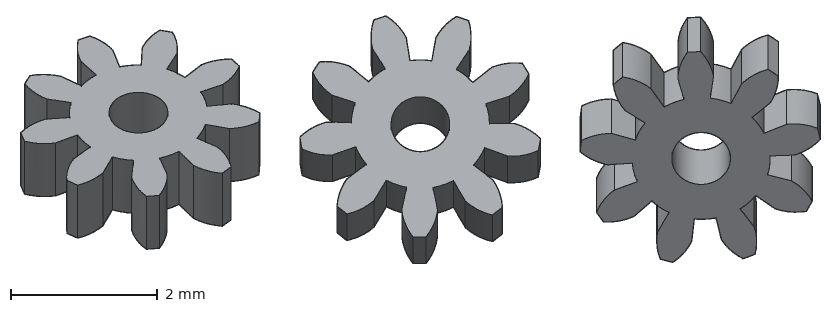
import cadquery as cq
import math

tooth_count = 9
thickness = 1.0
bore_diameter = 0.8
root_radius = 0.94

radial_flank_angle = math.radians(11)
shoulder_radius = 1.28
flank_mid_x = 1.453
flank_mid_half_width = 0.197
tip_x = 1.65
tip_half_width = 0.09


def radial_point(radius):
    """Point on the upper straight flank at the given distance from the gear axis."""
    return radius * math.cos(radial_flank_angle), radius * math.sin(radial_flank_angle)


def make_tooth():
    """Tooth with radial lower flanks, curved upper flanks and a flat tip."""
    shoulder_x, shoulder_half_width = radial_point(shoulder_radius)
    return (
        cq.Workplane("XY")
        .moveTo(0, 0)
        .lineTo(shoulder_x, -shoulder_half_width)
        .threePointArc((flank_mid_x, -flank_mid_half_width), (tip_x, -tip_half_width))
        .lineTo(tip_x, tip_half_width)
        .threePointArc((flank_mid_x, flank_mid_half_width), (shoulder_x, shoulder_half_width))
        .close()
        .extrude(thickness)
    )


gear = cq.Workplane("XY").circle(root_radius).extrude(thickness)
tooth = make_tooth()
for index in range(tooth_count):
    angle = index * 360 / tooth_count
    gear = gear.union(tooth.rotate((0, 0, 0), (0, 0, 1), angle))

bore = cq.Workplane("XY").circle(bore_diameter / 2).extrude(thickness)
result = gear.cut(bore)